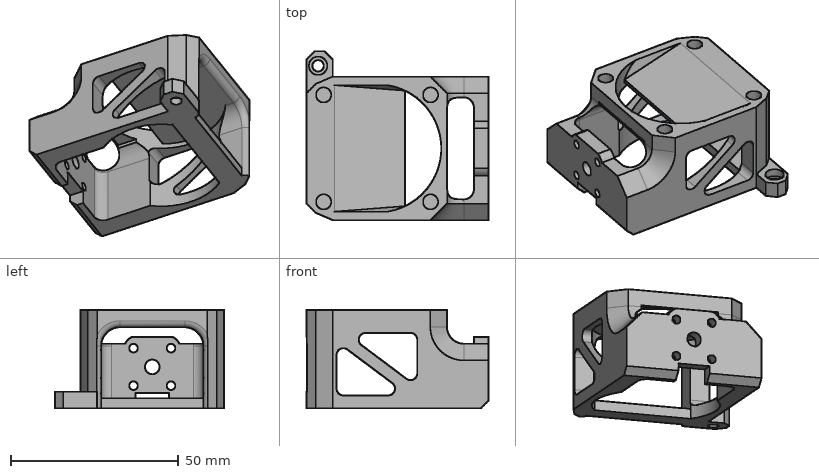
import cadquery as cq
import math

LENGTH = 54.5
WIDTH = 43.0
OVERALL_WIDTH = 50.65
HEIGHT = 29.5
HALF_WIDTH = WIDTH / 2

FAN_BLOCK_LENGTH = 42.1
PLATE_TOP = 19.4
STEP_RADIUS = 5.0
STEP_CHAMFER = 5.0
HEEL_CHAMFER = 2.35
CORNER_FLAT_Y = 5.0
CORNER_KINK_X = 2.85
CORNER_KINK_Y = 2.2
CORNER_FLAT_X = 7.9

TUNNEL_WIDTH = 30.5
ROOF_BOTTOM = 24.25
ROOF_RADIUS = 5.55
PLATE_THICKNESS = 4.4
PLATE_FILLET = 3.0
MOUTH_ROUND = 2.0
SILL_END_X = 9.5
SILL_HEIGHT = 3.05

FAN_X = 21.15
FAN_DIAMETER = 38.35
FAN_RADIUS = FAN_DIAMETER / 2
FAN_HOLE_SPACING = 32.0
FAN_HOLE_DIAMETER = 4.5
FAN_HOLE_DEPTH = 5.0
RAMP_START_X = 8.35
RAMP_END_X = 29.55
RAMP_END_Z = 25.3
RAMP_HALF_WIDTH = 18.9
CEILING_RECESS_WIDTH = 24.5
CEILING_RECESS_TOP = 24.85

WINDOW_LEFT = 9.05
WINDOW_RIGHT = 33.15
WINDOW_BOTTOM = 3.9
WINDOW_TOP = 22.55
WINDOW_LEG_X = 21.5
WINDOW_LEG_Z = 16.1
WINDOW_FILLET = 2.0

MOTOR_Z = 12.4
MOTOR_SHAFT_DIAMETER = 4.3
MOTOR_HOLE_SPACING = 11.2
MOTOR_HOLE_DIAMETER = 2.5
CREST_TOP = 21.4
CREST_TOP_WIDTH = 12.0
CREST_BASE_WIDTH = 16.25
CREST_SIDE_RADIUS = 4.0
NOTCH_WIDTH = 9.9
NOTCH_TOP = 4.6

EAR_END_Y = OVERALL_WIDTH - HALF_WIDTH
EAR_WIDTH = CORNER_FLAT_X
EAR_HEIGHT = 5.0
EAR_CHAMFER = 2.5
EAR_HOLE_X = 3.5
EAR_HOLE_INSET = 4.4
EAR_HOLE_DIAMETER = 3.3
EAR_BORE_DIAMETER = 5.5
EAR_BORE_DEPTH = 2.5

PLATE_X = LENGTH - PLATE_THICKNESS
CORNER_Y = HALF_WIDTH - CORNER_FLAT_Y
SELECT_SLACK = 0.05


def box(x0, x1, y0, y1, z0, z1):
    """Box between two opposite corners."""
    return cq.Workplane("XY").box(x1 - x0, y1 - y0, z1 - z0, centered=False).translate((x0, y0, z0))


def make_block():
    """Stepped side profile with the chamfer that follows the step."""
    arc_x = FAN_BLOCK_LENGTH + STEP_RADIUS
    arc_z = PLATE_TOP + STEP_RADIUS
    block = (
        cq.Workplane("XZ")
        .lineTo(LENGTH - HEEL_CHAMFER, 0)
        .lineTo(LENGTH, HEEL_CHAMFER)
        .lineTo(LENGTH, PLATE_TOP)
        .lineTo(arc_x, PLATE_TOP)
        .radiusArc((FAN_BLOCK_LENGTH, arc_z), STEP_RADIUS)
        .lineTo(FAN_BLOCK_LENGTH, HEIGHT)
        .lineTo(0, HEIGHT)
        .close()
        .extrude(HALF_WIDTH, both=True)
    )
    step_edges = cq.selectors.BoxSelector(
        (FAN_BLOCK_LENGTH - SELECT_SLACK, -WIDTH, PLATE_TOP - SELECT_SLACK),
        (LENGTH - SELECT_SLACK, WIDTH, HEIGHT - SELECT_SLACK),
    )
    return block.faces("<Y or >Y").edges(step_edges).chamfer(STEP_CHAMFER)


def make_tunnel():
    """Interior space with rounded roof corners and a rounded inner end."""
    return (
        box(0, PLATE_X, -TUNNEL_WIDTH / 2, TUNNEL_WIDTH / 2, 0, ROOF_BOTTOM)
        .edges("|X and >Z")
        .fillet(ROOF_RADIUS)
        .faces(">X")
        .edges("not <Z")
        .fillet(PLATE_FILLET)
    )


def round_mouth(body):
    """Convex rounding around the tunnel opening, open at the underside."""
    reach = TUNNEL_WIDTH / 2 + SELECT_SLACK
    mouth = cq.selectors.BoxSelector(
        (-SELECT_SLACK, -reach, SELECT_SLACK),
        (SELECT_SLACK, reach, ROOF_BOTTOM + SELECT_SLACK),
    )
    return body.edges(mouth).fillet(MOUTH_ROUND)


def make_corner_cut():
    """Prism that trims one vertical corner at the mouth."""
    return (
        cq.Workplane("XY")
        .moveTo(0, HALF_WIDTH)
        .lineTo(0, CORNER_Y)
        .lineTo(CORNER_KINK_X, HALF_WIDTH - CORNER_KINK_Y)
        .lineTo(CORNER_FLAT_X, HALF_WIDTH)
        .close()
        .extrude(HEIGHT)
    )


def make_fan_opening():
    """Round opening that leaves a ramp-shaped roof below its mouth side."""
    cylinder = cq.Workplane("XY").center(FAN_X, 0).circle(FAN_RADIUS).extrude(HEIGHT)
    entry = box(RAMP_START_X, FAN_X, -RAMP_HALF_WIDTH, RAMP_HALF_WIDTH, ROOF_BOTTOM, HEIGHT)
    low_half_width = math.sqrt(FAN_RADIUS**2 - (RAMP_END_X - FAN_X) ** 2)
    leaning_walls = (
        cq.Workplane("YZ", origin=(RAMP_START_X, 0, 0))
        .moveTo(-RAMP_HALF_WIDTH, HEIGHT)
        .lineTo(RAMP_HALF_WIDTH, HEIGHT)
        .lineTo(low_half_width, RAMP_END_Z)
        .lineTo(-low_half_width, RAMP_END_Z)
        .close()
        .extrude(RAMP_END_X - RAMP_START_X)
    )
    slope = (
        cq.Workplane("XZ")
        .moveTo(RAMP_START_X, HEIGHT)
        .lineTo(RAMP_END_X, HEIGHT)
        .lineTo(RAMP_END_X, RAMP_END_Z)
        .close()
        .extrude(HALF_WIDTH, both=True)
    )
    roof_zone = box(0, RAMP_END_X, -HALF_WIDTH, HALF_WIDTH, ROOF_BOTTOM, HEIGHT)
    ramp = roof_zone.cut(leaning_walls.intersect(slope))
    return cylinder.union(entry).cut(ramp)


def make_ceiling_recess():
    """Shallow step in the tunnel ceiling between the ramp and the low end."""
    half_width = CEILING_RECESS_WIDTH / 2
    return box(RAMP_END_X, FAN_BLOCK_LENGTH, -half_width, half_width, PLATE_TOP, CEILING_RECESS_TOP)


def make_windows():
    """Two triangular windows on either side of the diagonal brace."""
    lower = [
        (WINDOW_LEFT, WINDOW_BOTTOM),
        (WINDOW_LEFT + WINDOW_LEG_X, WINDOW_BOTTOM),
        (WINDOW_LEFT, WINDOW_BOTTOM + WINDOW_LEG_Z),
    ]
    upper = [
        (WINDOW_RIGHT, WINDOW_TOP),
        (WINDOW_RIGHT - WINDOW_LEG_X, WINDOW_TOP),
        (WINDOW_RIGHT, WINDOW_TOP - WINDOW_LEG_Z),
    ]
    windows = cq.Workplane("XZ")
    for corners in (lower, upper):
        window = cq.Workplane("XZ").polyline(corners).close().extrude(HALF_WIDTH, both=True)
        windows = windows.add(window.edges("|Y").fillet(WINDOW_FILLET))
    return windows.combine()


def make_crest():
    """Raised middle of the motor plate with convex sides."""
    top = CREST_TOP_WIDTH / 2
    base = CREST_BASE_WIDTH / 2
    return (
        cq.Workplane("YZ", origin=(PLATE_X, 0, 0))
        .moveTo(-base, PLATE_TOP)
        .radiusArc((-top, CREST_TOP), CREST_SIDE_RADIUS)
        .lineTo(top, CREST_TOP)
        .radiusArc((base, PLATE_TOP), CREST_SIDE_RADIUS)
        .close()
        .extrude(PLATE_THICKNESS)
    )


def make_motor_holes():
    """Shaft hole, four screw holes and the notch at the foot of the plate."""
    plate = cq.Workplane("YZ", origin=(PLATE_X, 0, 0)).center(0, MOTOR_Z)
    shaft = plate.circle(MOTOR_SHAFT_DIAMETER / 2).extrude(PLATE_THICKNESS)
    screws = (
        plate.rect(MOTOR_HOLE_SPACING, MOTOR_HOLE_SPACING, forConstruction=True)
        .vertices()
        .circle(MOTOR_HOLE_DIAMETER / 2)
        .extrude(PLATE_THICKNESS)
    )
    notch = box(PLATE_X, LENGTH, -NOTCH_WIDTH / 2, NOTCH_WIDTH / 2, 0, NOTCH_TOP)
    return shaft.union(screws).union(notch)


def make_fan_screw_holes():
    """Blind holes on the fan's square screw pattern."""
    return (
        cq.Workplane("XY", origin=(FAN_X, 0, HEIGHT))
        .rect(FAN_HOLE_SPACING, FAN_HOLE_SPACING, forConstruction=True)
        .vertices()
        .circle(FAN_HOLE_DIAMETER / 2)
        .extrude(-FAN_HOLE_DEPTH)
    )


def make_ear():
    """Low ear beside the mouth with a counterbored hole."""
    ear = (
        cq.Workplane("XY")
        .moveTo(0, CORNER_Y)
        .lineTo(CORNER_KINK_X, HALF_WIDTH - CORNER_KINK_Y)
        .lineTo(EAR_WIDTH, HALF_WIDTH)
        .lineTo(EAR_WIDTH, EAR_END_Y - EAR_CHAMFER)
        .lineTo(EAR_WIDTH - EAR_CHAMFER, EAR_END_Y)
        .lineTo(EAR_CHAMFER, EAR_END_Y)
        .lineTo(0, EAR_END_Y - EAR_CHAMFER)
        .close()
        .extrude(EAR_HEIGHT)
    )
    return (
        ear.faces(">Z")
        .workplane(origin=(EAR_HOLE_X, EAR_END_Y - EAR_HOLE_INSET, EAR_HEIGHT))
        .cboreHole(EAR_HOLE_DIAMETER, EAR_BORE_DIAMETER, EAR_BORE_DEPTH)
    )


body = round_mouth(make_block().cut(make_tunnel()))
corner_cut = make_corner_cut()
body = body.cut(corner_cut).cut(corner_cut.mirror("XZ"))
body = body.cut(make_fan_opening()).cut(make_windows())
body = body.cut(make_ceiling_recess()).cut(make_fan_screw_holes())
body = body.union(make_crest()).cut(make_motor_holes())
sill = box(MOUTH_ROUND, SILL_END_X, -TUNNEL_WIDTH / 2, TUNNEL_WIDTH / 2, 0, SILL_HEIGHT)
result = body.union(sill).union(make_ear())